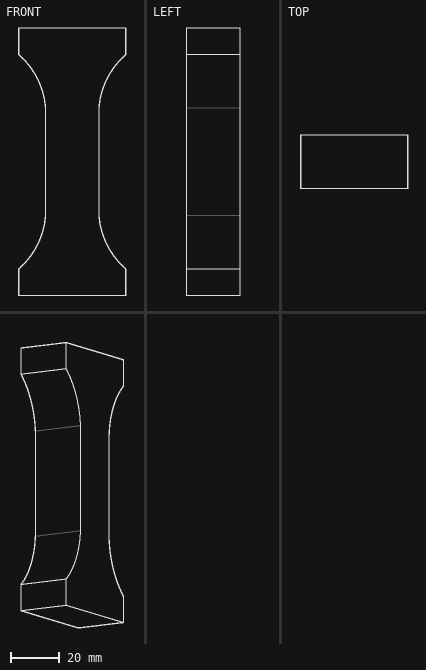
import cadquery as cq

height = 110.0
end_width = 44.0
neck_width = 22.0
thickness = 22.0
end_height = 11.0
neck_height = 44.0
shoulder_mid_inset = 3.3
shoulder_mid_rise = 12.1

half_height = height / 2
half_end = end_width / 2
half_neck = neck_width / 2
neck_top = neck_height / 2
shoulder_top = half_height - end_height

mid_x = half_neck + shoulder_mid_inset
mid_z = neck_top + shoulder_mid_rise

result = (
    cq.Workplane("XZ")
    .moveTo(-half_end, half_height)
    .lineTo(half_end, half_height)
    .lineTo(half_end, shoulder_top)
    .threePointArc((mid_x, mid_z), (half_neck, neck_top))
    .lineTo(half_neck, -neck_top)
    .threePointArc((mid_x, -mid_z), (half_end, -shoulder_top))
    .lineTo(half_end, -half_height)
    .lineTo(-half_end, -half_height)
    .lineTo(-half_end, -shoulder_top)
    .threePointArc((-mid_x, -mid_z), (-half_neck, -neck_top))
    .lineTo(-half_neck, neck_top)
    .threePointArc((-mid_x, mid_z), (-half_end, shoulder_top))
    .close()
    .extrude(thickness / 2, both=True)
)